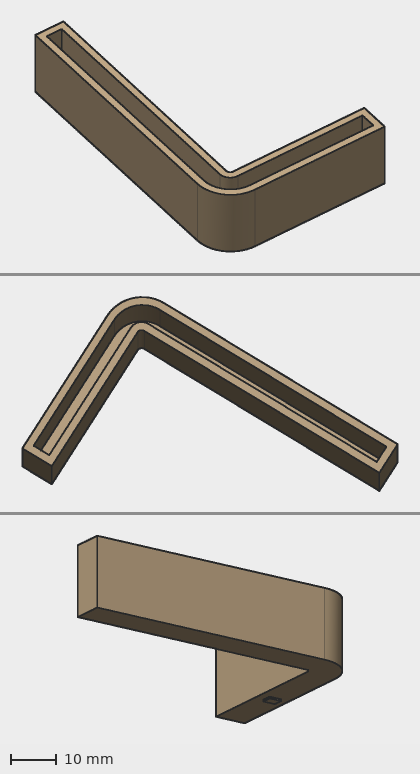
import cadquery as cq

length = 69.1
depth = 44.1
total_height = 17.1
arm_width = 7.6
wall = 1.8
inner_radius = 1.05
outer_radius = 9.05

pad_length = 3.05
pad_width = 2.4
pad_height = 0.4
pad_center_x = length - arm_width / 2
pad_center_y = 27.85

body_height = total_height - pad_height
floor = wall


def l_prism(inset, bottom):
    """L-shaped prism, inset evenly from the outer outline, from bottom to the rim."""
    left = inset
    front = inset
    right = length - inset
    back = depth - inset
    inner_x = length - arm_width + inset
    inner_y = arm_width - inset
    outline = [
        (left, front),
        (right, front),
        (right, back),
        (inner_x, back),
        (inner_x, inner_y),
        (left, inner_y),
    ]
    prism = (
        cq.Workplane("XY")
        .workplane(offset=bottom)
        .polyline(outline)
        .close()
        .extrude(body_height - bottom)
    )
    mid_height = (bottom + body_height) / 2
    outer_corner = cq.NearestToPointSelector((right, front, mid_height))
    inner_corner = cq.NearestToPointSelector((inner_x, inner_y, mid_height))
    prism = prism.edges(outer_corner).fillet(outer_radius - inset)
    return prism.edges(inner_corner).fillet(inner_radius + inset)


def bottom_pad():
    """Rectangular pad centred under the short arm."""
    return (
        cq.Workplane("XY")
        .center(pad_center_x, pad_center_y)
        .rect(pad_length, pad_width)
        .extrude(-pad_height)
    )


result = l_prism(0, 0).cut(l_prism(wall, floor)).union(bottom_pad())